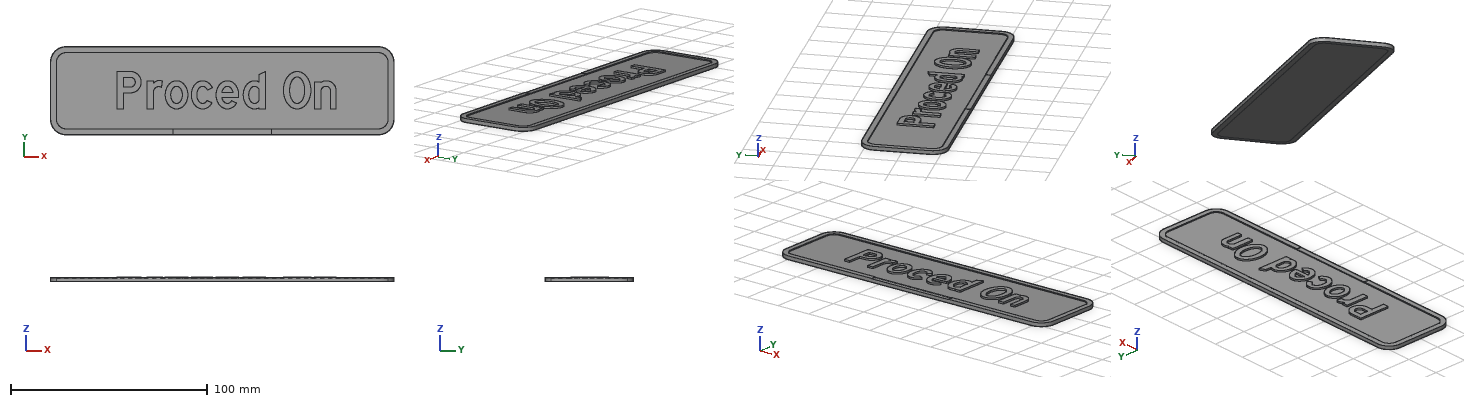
import cadquery as cq

LENGTH = 175.0
WIDTH = 45.0
INNER_LENGTH = 168.9
RIM_WIDTH = (LENGTH - INNER_LENGTH) / 2
INNER_WIDTH = WIDTH - 2 * RIM_WIDTH
OUTER_RADIUS = 8.0
INNER_RADIUS = OUTER_RADIUS - RIM_WIDTH
RIM_HEIGHT = 2.1
PANEL_HEIGHT = 1.5
TOTAL_HEIGHT = 2.5

NOTCH_LENGTH = 50.0
NOTCH_DEPTH = 0.2

LETTER_THICKNESS = TOTAL_HEIGHT - PANEL_HEIGHT
BASELINE_Y = -9.3
CAP_HEIGHT = 19.0
SMALL_HEIGHT = 14.4
STEM = 3.3
BOWL_WIDTH = 11.5
BOWL_SIDE_STROKE = 2.8
BOWL_END_STROKE = 2.8




def rounded_slab(length, width, radius, height):
    return cq.Workplane("XY").rect(length, width).extrude(height).edges("|Z").fillet(radius)


def make_frame():
    """Rounded rectangular rim with the shallow notch in its front side."""
    outer = rounded_slab(LENGTH, WIDTH, OUTER_RADIUS, RIM_HEIGHT)
    opening = rounded_slab(INNER_LENGTH, INNER_WIDTH, INNER_RADIUS, RIM_HEIGHT)
    notch_center_y = (RIM_WIDTH - WIDTH) / 2
    notch = (
        cq.Workplane("XY", origin=(0, notch_center_y, RIM_HEIGHT - NOTCH_DEPTH))
        .rect(NOTCH_LENGTH, RIM_WIDTH)
        .extrude(NOTCH_DEPTH)
    )
    return outer.cut(opening).cut(notch)


def make_panel():
    """Flat panel that fills the frame, with its top below the rim."""
    return rounded_slab(INNER_LENGTH, INNER_WIDTH, INNER_RADIUS, PANEL_HEIGHT)




def polygon(points):
    return cq.Workplane("XY").polyline(points).close().extrude(LETTER_THICKNESS)


def block(left, bottom, right, top):
    return polygon([(left, bottom), (right, bottom), (right, top), (left, top)])


def ellipse(center_x, center_y, half_width, half_height):
    sketch = cq.Workplane("XY").center(center_x, center_y).ellipse(half_width, half_height)
    return sketch.extrude(LETTER_THICKNESS)


def oval_ring(width, height, side_stroke, end_stroke):
    half_width = width / 2
    half_height = height / 2
    outer = ellipse(half_width, half_height, half_width, half_height)
    inner = ellipse(half_width, half_height, half_width - side_stroke, half_height - end_stroke)
    return outer.cut(inner)


def small_bowl():
    return oval_ring(BOWL_WIDTH, SMALL_HEIGHT, BOWL_SIDE_STROKE, BOWL_END_STROKE)


def arch(left, right, spring_height, top):
    """Block standing on the baseline, with a half-elliptical head."""
    half_width = (right - left) / 2
    head = ellipse(left + half_width, spring_height, half_width, top - spring_height)
    return block(left, 0, right, spring_height).union(head)


def round_ended(left, arc_start, right, bottom, top):
    """Block whose right end is one arc."""
    return (
        cq.Workplane("XY")
        .moveTo(left, bottom)
        .lineTo(arc_start, bottom)
        .threePointArc((right, (bottom + top) / 2), (arc_start, top))
        .lineTo(left, top)
        .close()
        .extrude(LETTER_THICKNESS)
    )




def letter_capital_p():
    width = 12.2
    arc_start = 7.4
    bowl_bottom = 8.2
    stroke = 3.0
    stem = block(0, 0, STEM, CAP_HEIGHT)
    bowl = round_ended(0, arc_start, width, bowl_bottom, CAP_HEIGHT)
    counter = round_ended(STEM, arc_start, width - stroke, bowl_bottom + stroke, CAP_HEIGHT - stroke)
    return stem.union(bowl).cut(counter)


def letter_r():
    arm_root_bottom = (STEM, 8.8)
    arm_root_top = (STEM, 13.1)
    tip_bottom = (7.4, 11.0)
    tip_top = (7.9, 14.2)
    arm = (
        cq.Workplane("XY")
        .moveTo(*arm_root_bottom)
        .threePointArc((4.4, 10.8), tip_bottom)
        .lineTo(*tip_top)
        .threePointArc((5.2, SMALL_HEIGHT), arm_root_top)
        .close()
        .extrude(LETTER_THICKNESS)
    )
    return block(0, 0, STEM, SMALL_HEIGHT).union(arm)


def letter_o():
    return small_bowl()


def letter_c():
    throat_x = 5.5
    mouth = polygon([(throat_x, 8.2), (BOWL_WIDTH, 11.2), (BOWL_WIDTH, 2.6), (throat_x, 5.6)])
    return small_bowl().cut(mouth)


def letter_e():
    bar_bottom = 6.0
    bar_top = 8.4
    throat_x = 5.5
    bar = block(BOWL_SIDE_STROKE / 2, bar_bottom, BOWL_WIDTH - BOWL_SIDE_STROKE / 2, bar_top)
    mouth = polygon(
        [(throat_x, bar_bottom), (BOWL_WIDTH, bar_bottom), (BOWL_WIDTH, 2.5), (throat_x, 5.5)]
    )
    return small_bowl().union(bar).cut(mouth)


def letter_d():
    stem_left = 8.0
    stem_right = stem_left + STEM
    shoulder_height = 17.5
    stem = polygon(
        [(stem_left, 0), (stem_right, 0), (stem_right, CAP_HEIGHT), (stem_left, shoulder_height)]
    )
    beyond_stem = block(stem_right, 0, BOWL_WIDTH, SMALL_HEIGHT)
    return small_bowl().cut(beyond_stem).union(stem)


def letter_capital_o():
    width = 14.0
    side_stroke = 3.2
    end_stroke = 2.8
    return oval_ring(width, CAP_HEIGHT, side_stroke, end_stroke)


def letter_n():
    width = 10.8
    right_leg = 2.8
    spring_height = 9.5
    shoulder_left = 1.0
    stem_top = 13.8
    stem = block(0, 0, STEM, stem_top)
    shoulder = arch(shoulder_left, width, spring_height, SMALL_HEIGHT)
    opening = arch(STEM, width - right_leg, spring_height, SMALL_HEIGHT - right_leg)
    return stem.union(shoulder).cut(opening)


LETTERS = [
    (letter_capital_p, -53.5),
    (letter_r, -38.3),
    (letter_o, -29.0),
    (letter_c, -15.8),
    (letter_e, -3.2),
    (letter_d, 10.7),
    (letter_capital_o, 31.2),
    (letter_n, 47.0),
]



frame = make_frame()
panel = make_panel()
letters = []
for make_letter, left_x in LETTERS:
    letters.append(make_letter().translate((left_x, BASELINE_Y, PANEL_HEIGHT)))

result = cq.Compound.makeCompound(
    [frame.val(), panel.val(), *[solid for letter in letters for solid in letter.solids().vals()]]
)